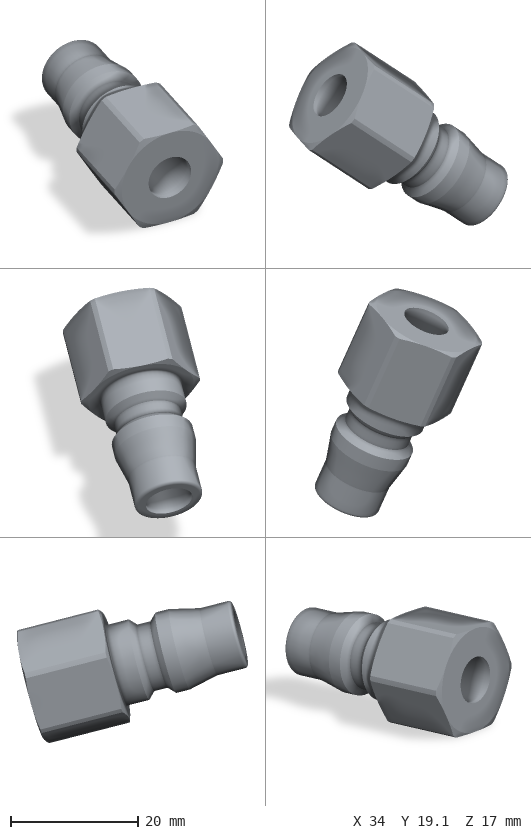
import cadquery as cq

length = 34.0
nose_end = 5.0
taper_end = 9.8
collar_end = 12.0
groove_flank = 1.12
groove_end = 16.42
hex_start = 20.13

bore_dia = 7.5
nose_dia = 10.9
groove_dia = 10.8
body_dia = 13.1

nose_round = 0.48
root_fillet = 0.2

across_flats = 17.0
across_corners = 19.15
hex_chamfer = 0.35

nose_r = nose_dia / 2
groove_r = groove_dia / 2
body_r = body_dia / 2
flat_r = across_flats / 2
corner_r = across_corners / 2


def make_plug():
    """Turned plug: nose, taper, locking groove and shank."""
    return (
        cq.Workplane("XY")
        .moveTo(0, 0)
        .lineTo(0, nose_r - nose_round)
        .radiusArc((nose_round, nose_r), nose_round)
        .lineTo(nose_end, nose_r)
        .lineTo(taper_end, body_r)
        .lineTo(collar_end, body_r)
        .lineTo(collar_end + groove_flank, groove_r)
        .lineTo(groove_end - groove_flank, groove_r)
        .lineTo(groove_end, body_r)
        .lineTo(hex_start - root_fillet, body_r)
        .radiusArc((hex_start, body_r + root_fillet), -root_fillet)
        .lineTo(hex_start, 0)
        .close()
        .revolve(360, (0, 0, 0), (1, 0, 0))
    )


def make_hex():
    """Hexagon with flats at +Z and -Z, its corners trimmed and chamfered by a turned envelope."""
    prism = (
        cq.Workplane("YZ", origin=(hex_start, 0, 0))
        .transformed(rotate=(0, 0, 90))
        .polygon(6, across_flats, circumscribed=True)
        .extrude(length - hex_start)
    )
    envelope = (
        cq.Workplane("XY")
        .moveTo(hex_start, 0)
        .lineTo(hex_start, flat_r)
        .lineTo(hex_start + hex_chamfer, corner_r)
        .lineTo(length - hex_chamfer, corner_r)
        .lineTo(length, flat_r)
        .lineTo(length, 0)
        .close()
        .revolve(360, (0, 0, 0), (1, 0, 0))
    )
    return prism.intersect(envelope)


bore = cq.Workplane("YZ").circle(bore_dia / 2).extrude(length)

result = make_plug().union(make_hex()).cut(bore)